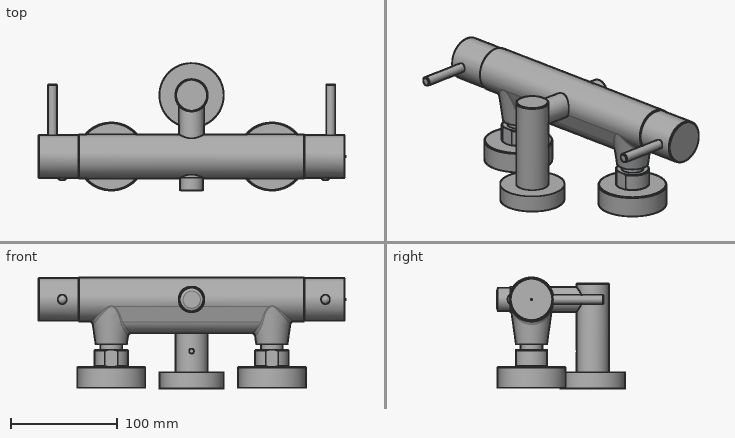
import cadquery as cq
import math

OVERALL_LENGTH = 287.7
EDGE_BREAK = 1.0

BAR_RADIUS = 20.7
BAR_LENGTH = 210.0
KNOB_RADIUS = 20.0
NIB_RADIUS = 0.5
NIB_LENGTH = 1.0
KNOB_END_X = (OVERALL_LENGTH - NIB_LENGTH) / 2

CHANNEL_RADIUS = 15.8
CHANNEL_DROP = 15.8

HANDLE_X = 130.0
HANDLE_RADIUS = 4.3
HANDLE_TIP_Y = 67.5
STUD_XS = (-120.8, 125.1)
STUD_SPHERE_RADIUS = 5.0
STUD_TIP_Y = -22.5

LEG_X = 75.0
LEG_XS = (-LEG_X, LEG_X)
LEG_BOTTOM_Z = -42.0
LEG_BOTTOM_RADIUS = 14.7
LEG_TOP_RADIUS = 20.7
LEG_TOP_Z = 0.0
LEG_FILLET = 3.0
NECK_RADIUS = 10.5
NUT_TOP_Z = -47.2
NUT_RADIUS = 15.8
NUT_ACROSS_FLATS = 29.3
ROSE_RADIUS = 32.0
ROSE_TOP_Z = -63.0
ROSE_BOTTOM_Z = -82.5

OUTLET_RADIUS = 11.0
OUTLET_TIP_Y = -32.2
OUTLET_FACE_RADIUS = 8.0
COLLAR_RADIUS = 12.0
COLLAR_FACE_Y = -19.9

POST_Y = 57.3
POST_RADIUS = 15.2
POST_TOP_Z = 15.2
FOOT_RADIUS = 30.2
FOOT_TOP_Z = -68.0
FOOT_BOTTOM_Z = -83.5
ARM_RADIUS = 11.8
SCREW_HOLE_RADIUS = 2.3
SCREW_HOLE_Z = -48.3
SCREW_HOLE_DEPTH = 3.0


def rod_x(radius, x_start, x_end):
    return cq.Workplane("YZ", origin=(x_start, 0, 0)).circle(radius).extrude(x_end - x_start)


def rod_y(radius, x, y_start, y_end, z=0.0):
    return cq.Workplane("XZ", origin=(x, y_start, z)).circle(radius).extrude(y_start - y_end)


def rod_z(radius, x, y, z_start, z_end):
    return cq.Workplane("XY", origin=(x, y, z_start)).circle(radius).extrude(z_end - z_start)


def make_channel():
    sine = (BAR_RADIUS - CHANNEL_RADIUS) / CHANNEL_DROP
    cosine = math.sqrt(1 - sine**2)
    bar_y, bar_z = BAR_RADIUS * cosine, -BAR_RADIUS * sine
    low_y = CHANNEL_RADIUS * cosine
    low_z = -CHANNEL_DROP - CHANNEL_RADIUS * sine
    return (
        cq.Workplane("YZ", origin=(-LEG_X, 0, 0))
        .moveTo(-bar_y, bar_z)
        .lineTo(-low_y, low_z)
        .threePointArc((0, -CHANNEL_DROP - CHANNEL_RADIUS), (low_y, low_z))
        .lineTo(bar_y, bar_z)
        .threePointArc((0, BAR_RADIUS), (-bar_y, bar_z))
        .close()
        .extrude(2 * LEG_X)
    )


def make_leg_cone(x):
    return (
        cq.Workplane("XZ", origin=(x, 0, 0))
        .moveTo(0, LEG_BOTTOM_Z)
        .lineTo(LEG_BOTTOM_RADIUS, LEG_BOTTOM_Z)
        .lineTo(LEG_TOP_RADIUS, LEG_TOP_Z)
        .lineTo(0, LEG_TOP_Z)
        .close()
        .revolve(360, (0, 0, 0), (0, 1, 0))
    )


def make_bar():
    bar = rod_x(BAR_RADIUS, -BAR_LENGTH / 2, BAR_LENGTH / 2).union(make_channel())
    for x in LEG_XS:
        bar = bar.union(make_leg_cone(x))
    seams = bar.edges("%BSPLINE").vals()
    return bar.newObject(seams).fillet(LEG_FILLET)


def make_knob(side):
    inner_x = side * BAR_LENGTH / 2
    outer_x = side * KNOB_END_X
    return rod_x(KNOB_RADIUS, inner_x, outer_x).faces("<X or >X").edges().chamfer(EDGE_BREAK)


def make_nib():
    return rod_x(NIB_RADIUS, 0, KNOB_END_X + NIB_LENGTH)


def make_handle(x):
    return rod_y(HANDLE_RADIUS, x, 0, HANDLE_TIP_Y).faces(">Y").edges().chamfer(EDGE_BREAK)


def make_stud(x):
    return cq.Workplane("XY", origin=(x, STUD_TIP_Y + STUD_SPHERE_RADIUS, 0)).sphere(STUD_SPHERE_RADIUS)


def make_supply_fitting(x):
    neck = rod_z(NECK_RADIUS, x, 0, ROSE_TOP_Z, LEG_BOTTOM_Z)
    flats = (
        cq.Workplane("XY", origin=(x, 0, ROSE_TOP_Z))
        .rect(2 * NUT_RADIUS, NUT_ACROSS_FLATS)
        .extrude(NUT_TOP_Z - ROSE_TOP_Z)
    )
    nut = rod_z(NUT_RADIUS, x, 0, ROSE_TOP_Z, NUT_TOP_Z).edges("%CIRCLE").chamfer(EDGE_BREAK).intersect(flats)
    rose = rod_z(ROSE_RADIUS, x, 0, ROSE_BOTTOM_Z, ROSE_TOP_Z).faces(">Z").edges().chamfer(EDGE_BREAK)
    return neck.union(nut).union(rose)


def add_outlet(body):
    spot_face = rod_y(COLLAR_RADIUS, 0, COLLAR_FACE_Y, OUTLET_TIP_Y)
    collar = rod_y(COLLAR_RADIUS, 0, 0, COLLAR_FACE_Y)
    spigot = rod_y(OUTLET_RADIUS, 0, 0, OUTLET_TIP_Y)
    tip = spigot.faces("<Y").edges().chamfer(EDGE_BREAK, OUTLET_RADIUS - OUTLET_FACE_RADIUS)
    return body.cut(spot_face).union(collar).union(tip)


def make_mixer():
    body = make_bar()
    for side in (-1, 1):
        body = body.union(make_knob(side)).union(make_handle(side * HANDLE_X))
    body = body.union(make_nib())
    for x in STUD_XS:
        body = body.union(make_stud(x))
    for x in LEG_XS:
        body = body.union(make_supply_fitting(x))
    return add_outlet(body)


def make_riser():
    post = rod_z(POST_RADIUS, 0, POST_Y, FOOT_BOTTOM_Z, POST_TOP_Z).faces(">Z").edges().chamfer(EDGE_BREAK)
    foot = rod_z(FOOT_RADIUS, 0, POST_Y, FOOT_BOTTOM_Z, FOOT_TOP_Z)
    arm = rod_y(ARM_RADIUS, 0, 0, POST_Y).cut(rod_x(BAR_RADIUS, -BAR_LENGTH / 2, BAR_LENGTH / 2))
    hole_bottom_y = POST_Y - POST_RADIUS + SCREW_HOLE_DEPTH
    screw_hole = rod_y(SCREW_HOLE_RADIUS, 0, hole_bottom_y, hole_bottom_y - POST_RADIUS, SCREW_HOLE_Z)
    return post.union(foot).union(arm).cut(screw_hole)


mixer = make_mixer()
riser = make_riser()

result = cq.Compound.makeCompound([mixer.val(), riser.val()])